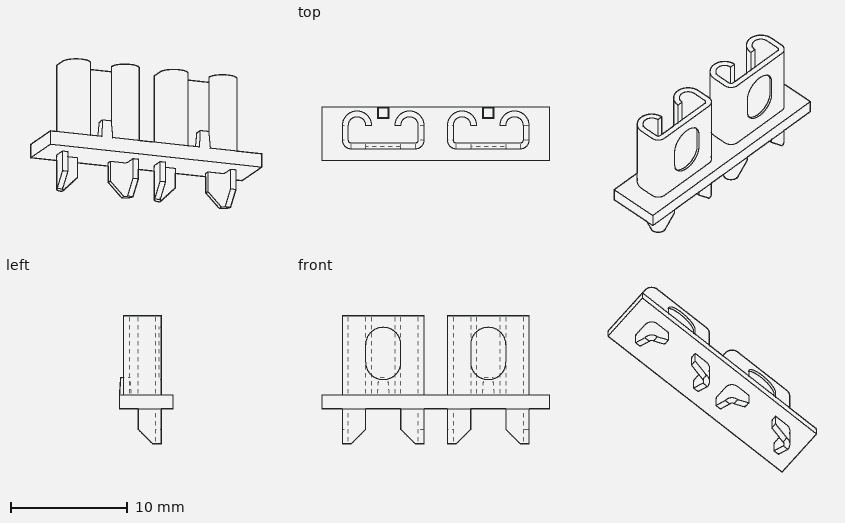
import cadquery as cq
import math

PLATE_LENGTH = 19.5
PLATE_DEPTH = 4.6
PLATE_THICKNESS = 1.2

CLIP_PITCH = 9.0
CLIP_WIDTH = 7.0
CLIP_DEPTH = 3.25
CLIP_HEIGHT = 6.8
CLIP_BACK_GAP = 0.35
SHEET = 0.5
CURL_RADIUS = 1.25
CORNER_RADIUS = 0.75

OVAL_WIDTH = 3.0
OVAL_HEIGHT = 4.5
OVAL_TOP_GAP = 1.0
OVAL_RECESS = 0.2

LEG_LENGTH = 3.0
LEG_WIDTH = 2.0

POST_SIZE = 1.0
POST_HEIGHT = 1.5
POST_INSET = 0.1

plate_back = PLATE_DEPTH / 2
half_width = CLIP_WIDTH / 2
clip_back = plate_back - CLIP_BACK_GAP
clip_front = clip_back - CLIP_DEPTH
curl_y = clip_back - CURL_RADIUS
corner_y = clip_front + CORNER_RADIUS
corner_x = half_width - CORNER_RADIUS
clip_top = PLATE_THICKNESS + CLIP_HEIGHT
clip_centres = (-CLIP_PITCH / 2, CLIP_PITCH / 2)


def curled_outline(inset):
    """Return the points of the right half of the C profile, offset inward by inset.

    They run from the front wall, around the front corner and over the curl to the lip end;
    each arc has a middle point besides its two ends.
    """
    corner_radius = CORNER_RADIUS - inset
    curl_radius = CURL_RADIUS - inset
    curl_x = half_width - CURL_RADIUS
    diagonal = corner_radius * math.cos(math.pi / 4)
    return {
        "corner_start": (corner_x, clip_front + inset),
        "corner_middle": (corner_x + diagonal, corner_y - diagonal),
        "corner_end": (half_width - inset, corner_y),
        "curl_start": (half_width - inset, curl_y),
        "curl_middle": (curl_x, curl_y + curl_radius),
        "lip_end": (curl_x - curl_radius, curl_y),
    }


def half_clip():
    """Right half of one clip, from its centre plane to the lip, standing on the plate."""
    outer = curled_outline(0)
    inner = curled_outline(SHEET)
    return (
        cq.Workplane("XY", origin=(0, 0, PLATE_THICKNESS))
        .moveTo(0, clip_front)
        .lineTo(*outer["corner_start"])
        .threePointArc(outer["corner_middle"], outer["corner_end"])
        .lineTo(*outer["curl_start"])
        .threePointArc(outer["curl_middle"], outer["lip_end"])
        .lineTo(*inner["lip_end"])
        .threePointArc(inner["curl_middle"], inner["curl_start"])
        .lineTo(*inner["corner_end"])
        .threePointArc(inner["corner_middle"], inner["corner_start"])
        .lineTo(0, clip_front + SHEET)
        .close()
        .extrude(CLIP_HEIGHT)
    )


def leg():
    """Right-hand leg: an L-shaped corner whose two flanges are cut to a point."""
    outer = curled_outline(0)
    inner = curled_outline(SHEET)
    leg_inside = half_width - LEG_WIDTH
    body = (
        cq.Workplane("XY", origin=(0, 0, -LEG_LENGTH))
        .moveTo(leg_inside, clip_front)
        .lineTo(*outer["corner_start"])
        .threePointArc(outer["corner_middle"], outer["corner_end"])
        .lineTo(*outer["curl_start"])
        .lineTo(*inner["curl_start"])
        .lineTo(*inner["corner_end"])
        .threePointArc(inner["corner_middle"], inner["corner_start"])
        .lineTo(leg_inside, clip_front + SHEET)
        .close()
        .extrude(LEG_LENGTH)
    )
    front_slope = corner_x - leg_inside
    front_cut = (
        cq.Workplane("XZ")
        .moveTo(corner_x, -LEG_LENGTH)
        .lineTo(leg_inside, -LEG_LENGTH)
        .lineTo(leg_inside, front_slope - LEG_LENGTH)
        .close()
        .extrude(PLATE_DEPTH, both=True)
    )
    side_slope = curl_y - corner_y
    side_cut = (
        cq.Workplane("YZ")
        .moveTo(corner_y, -LEG_LENGTH)
        .lineTo(curl_y, -LEG_LENGTH)
        .lineTo(curl_y, side_slope - LEG_LENGTH)
        .close()
        .extrude(CLIP_WIDTH)
    )
    return body.cut(front_cut).cut(side_cut)


def oval_recess():
    """Cutter for the oval recess, reaching inward from the front wall."""
    oval_z = clip_top - OVAL_TOP_GAP - OVAL_HEIGHT / 2
    return (
        cq.Workplane("XZ", origin=(0, clip_front, oval_z))
        .slot2D(OVAL_HEIGHT, OVAL_WIDTH, 90)
        .extrude(-OVAL_RECESS)
    )


def key_post():
    """Square post flush with the back edge of the plate, narrowing upward."""
    top_size = POST_SIZE - 2 * POST_INSET
    return (
        cq.Workplane("XY", origin=(0, plate_back - POST_SIZE / 2, PLATE_THICKNESS))
        .rect(POST_SIZE, POST_SIZE)
        .workplane(offset=POST_HEIGHT)
        .rect(top_size, top_size)
        .loft(ruled=True)
    )


def contact():
    """Everything that stands on or hangs from the plate at one contact position."""
    right_half = half_clip().union(leg())
    clip = right_half.union(right_half.mirror("YZ")).cut(oval_recess())
    return clip.union(key_post())


def plate():
    return cq.Workplane("XY").box(
        PLATE_LENGTH, PLATE_DEPTH, PLATE_THICKNESS, centered=(True, True, False)
    )


result = plate()
single_contact = contact()
for centre_x in clip_centres:
    result = result.union(single_contact.translate((centre_x, 0, 0)))